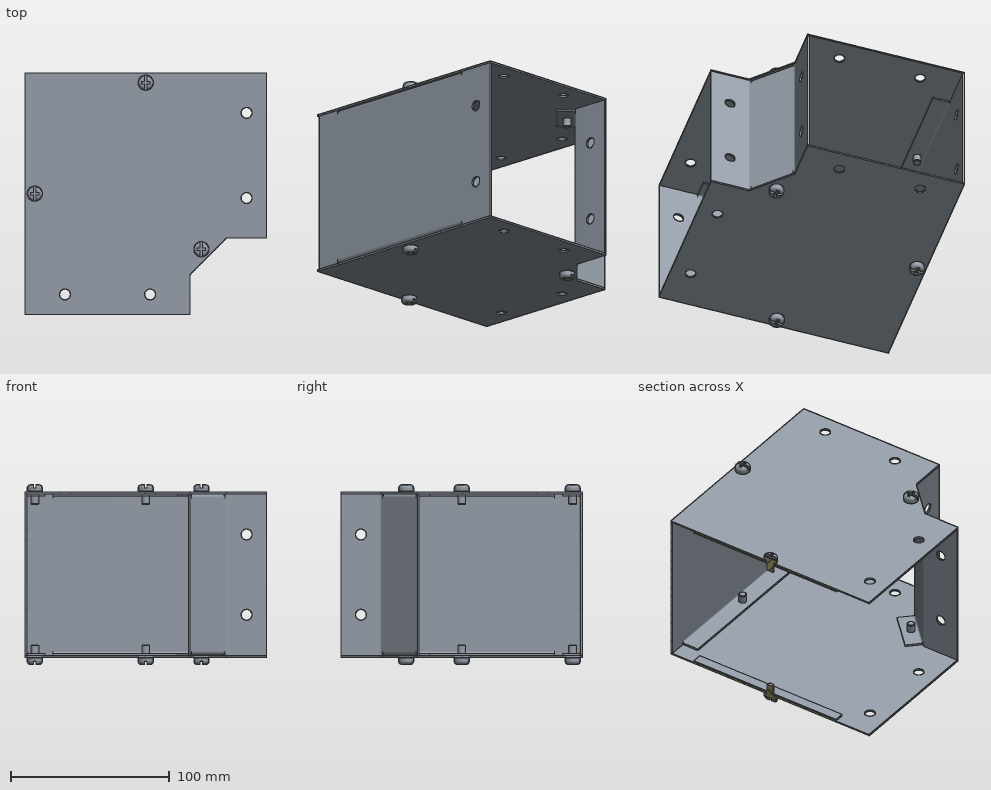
import cadquery as cq
import math


LENGTH = 152.4
SECTION = 104.2
SHEET = 1.2
INNER_BEND = 1.2
OUTER_BEND = INNER_BEND + SHEET
LEG = 25.3
DIAGONAL_ANGLE = 45
WALL_HEIGHT = SECTION - 2 * SHEET
WALL_TOP = WALL_HEIGHT / 2

TAB_WIDTH = 12.6
TAB_START = 17.7
OUTER_TAB_LENGTH = LENGTH - TAB_START - LEG
DIAGONAL_LENGTH = math.sqrt(2) * (LENGTH - SECTION - LEG)
TAB_RELIEF = 1.2
DIAGONAL_TAB_LENGTH = DIAGONAL_LENGTH - 2 * TAB_RELIEF

HOLE_DIAMETER = 6.7
HOLE_INSET = 12.6
COVER_HOLE_SPACING = 53.6
WALL_HOLE_SPACING = 50.6

HEAD_DIAMETER = 9.6
HEAD_HEIGHT = 4.5
HEAD_ROUNDING = 2.1
HEAD_CHAMFER = 0.5
SHANK_DIAMETER = 5.0
SHANK_LENGTH = 7.8
SHANK_CHAMFER = 0.5
SLOT_WIDTH = 1.5
SLOT_DEPTH = 2.0
CROSS_LENGTH = 5.5
SCREW_INSET = 6.2

OUTER_TAB_MIDDLE = TAB_START + OUTER_TAB_LENGTH / 2
DIAGONAL_MIDDLE = (SECTION + LENGTH - LEG) / 2
SIDE_PANEL = ((0, LENGTH - OUTER_TAB_MIDDLE), -90)
BACK_PANEL = ((OUTER_TAB_MIDDLE, LENGTH), 180)
DIAGONAL_PANEL = ((DIAGONAL_MIDDLE, LENGTH - DIAGONAL_MIDDLE), DIAGONAL_ANGLE)


def place_on_panel(shape, panel):
    """Move a shape from the origin, where it runs along X, to the middle of a panel."""
    (x, y), angle = panel
    return shape.rotate((0, 0, 0), (0, 0, 1), angle).translate((x, y, 0))


def cylinders(diameter, points, plane, height):
    """Cylinders that reach the given height to each side of the plane."""
    return cq.Workplane(plane).pushPoints(points).circle(diameter / 2).extrude(height, both=True)


def screw_axes():
    """XY positions of the three screw axes."""
    x, y = DIAGONAL_PANEL[0]
    diagonal_step = SCREW_INSET / math.sqrt(2)
    return [
        (SCREW_INSET, LENGTH / 2),
        (LENGTH / 2, LENGTH - SCREW_INSET),
        (x - diagonal_step, y + diagonal_step),
    ]


def notch_bends(offset):
    """Ends of the diagonal face when the inner wall faces move into the duct by the offset."""
    face = SECTION - offset
    leg = LEG + offset * math.tan(math.radians(DIAGONAL_ANGLE / 2))
    return [(face, leg), (LENGTH - leg, LENGTH - face)]


def inner_notch(offset, height):
    """Block outside the inner corner, its faces moved into the duct by the offset."""
    front_bend, right_bend = notch_bends(offset)
    return (
        cq.Workplane("XY")
        .moveTo(front_bend[0], 0)
        .lineTo(*front_bend)
        .lineTo(*right_bend)
        .lineTo(LENGTH, right_bend[1])
        .lineTo(LENGTH, 0)
        .close()
        .extrude(height / 2, both=True)
    )


def rounded_notch(offset, radius):
    """Inner notch as tall as the walls, rounded where the diagonal face meets the legs."""
    notch = inner_notch(offset, WALL_HEIGHT)
    for x, y in notch_bends(offset):
        notch = notch.edges(cq.NearestToPointSelector((x, y, 0))).fillet(radius)
    return notch


def corner_block(offset, radius):
    """Block with its rounded outer corner edge moved in from the outer wall faces."""
    side = LENGTH - offset
    return (
        cq.Workplane("XY")
        .rect(side, side)
        .extrude(WALL_HEIGHT / 2, both=True)
        .translate((offset + side / 2, side / 2, 0))
        .edges("|Z")
        .edges("<X and >Y")
        .fillet(radius)
    )


def add_tabs(wall, panel, length):
    """Fold a tab inward at the top and bottom of a wall panel."""
    edge = (
        cq.Workplane("XY")
        .box(length, OUTER_BEND, OUTER_BEND, centered=(True, False, False))
        .translate((0, 0, WALL_TOP - OUTER_BEND))
    )
    fold = (
        cq.Workplane("YZ")
        .moveTo(0, WALL_TOP - OUTER_BEND)
        .radiusArc((OUTER_BEND, WALL_TOP), OUTER_BEND)
        .lineTo(TAB_WIDTH, WALL_TOP)
        .lineTo(TAB_WIDTH, WALL_TOP - SHEET)
        .lineTo(OUTER_BEND, WALL_TOP - SHEET)
        .radiusArc((SHEET, WALL_TOP - OUTER_BEND), -INNER_BEND)
        .close()
        .extrude(length / 2, both=True)
    )
    top_edge = place_on_panel(edge, panel)
    top_tab = place_on_panel(fold, panel)
    wall = wall.cut(top_edge).cut(top_edge.mirror("XY"))
    return wall.union(top_tab).union(top_tab.mirror("XY"))


def cut_wall_holes(wall):
    """Mounting holes at both open ends, and screw holes through the tabs."""
    heights = (-WALL_HOLE_SPACING / 2, WALL_HOLE_SPACING / 2)
    side_points = [(HOLE_INSET, z) for z in heights]
    back_points = [(LENGTH - HOLE_INSET, z) for z in heights]
    return (
        wall.cut(cylinders(HOLE_DIAMETER, side_points, "YZ", LENGTH))
        .cut(cylinders(HOLE_DIAMETER, back_points, "XZ", LENGTH))
        .cut(cylinders(SHANK_DIAMETER, screw_axes(), "XY", SECTION))
    )


def make_outer_wall():
    """L-shaped wall bent around the outer corner, with two tabs on each leg."""
    wall = corner_block(0, OUTER_BEND).cut(corner_block(SHEET, INNER_BEND))
    for panel in (SIDE_PANEL, BACK_PANEL):
        wall = add_tabs(wall, panel, OUTER_TAB_LENGTH)
    return cut_wall_holes(wall)


def make_inner_wall():
    """Wall along the inner corner, bent twice, with two tabs on its diagonal panel."""
    wall = rounded_notch(SHEET, OUTER_BEND).cut(rounded_notch(0, INNER_BEND))
    wall = add_tabs(wall, DIAGONAL_PANEL, DIAGONAL_TAB_LENGTH)
    return cut_wall_holes(wall)


def make_top_cover():
    """Flat cover with mounting holes at both open ends and three screw holes."""
    near = (SECTION - COVER_HOLE_SPACING) / 2
    far = near + COVER_HOLE_SPACING
    front_holes = [(x, HOLE_INSET) for x in (near, far)]
    right_holes = [(LENGTH - HOLE_INSET, LENGTH - y) for y in (near, far)]
    return (
        cq.Workplane("XY")
        .box(LENGTH, LENGTH, SHEET, centered=(False, False, True))
        .cut(inner_notch(0, SHEET))
        .cut(cylinders(HOLE_DIAMETER, front_holes + right_holes, "XY", SHEET))
        .cut(cylinders(SHANK_DIAMETER, screw_axes(), "XY", SHEET))
        .translate((0, 0, WALL_TOP + SHEET / 2))
    )


def make_top_screw(x, y):
    """Screw seated on the top cover: round-edged head, full slot along Y and a short cross arm."""
    head = (
        cq.Workplane("XY")
        .circle(HEAD_DIAMETER / 2)
        .extrude(HEAD_HEIGHT)
        .faces(">Z")
        .edges()
        .fillet(HEAD_ROUNDING)
        .faces("<Z")
        .chamfer(HEAD_CHAMFER)
    )
    shank = (
        cq.Workplane("XY")
        .circle(SHANK_DIAMETER / 2)
        .extrude(-SHANK_LENGTH)
        .faces("<Z")
        .chamfer(SHANK_CHAMFER)
    )
    drive = (
        cq.Workplane("XY", origin=(0, 0, HEAD_HEIGHT))
        .rect(SLOT_WIDTH, HEAD_DIAMETER)
        .extrude(-SLOT_DEPTH)
        .union(
            cq.Workplane("XY", origin=(0, 0, HEAD_HEIGHT))
            .rect(CROSS_LENGTH, SLOT_WIDTH)
            .extrude(-SLOT_DEPTH)
        )
    )
    return head.union(shank).cut(drive).translate((x, y, SECTION / 2))


outer_wall = make_outer_wall()
inner_wall = make_inner_wall()
top_cover = make_top_cover()
bottom_cover = top_cover.mirror("XY")

screws = []
for x, y in screw_axes():
    top_screw = make_top_screw(x, y)
    screws.append(top_screw.val())
    screws.append(top_screw.mirror("XY").val())

result = cq.Compound.makeCompound([
    outer_wall.val(),
    inner_wall.val(),
    top_cover.val(),
    bottom_cover.val(),
    *screws,
])